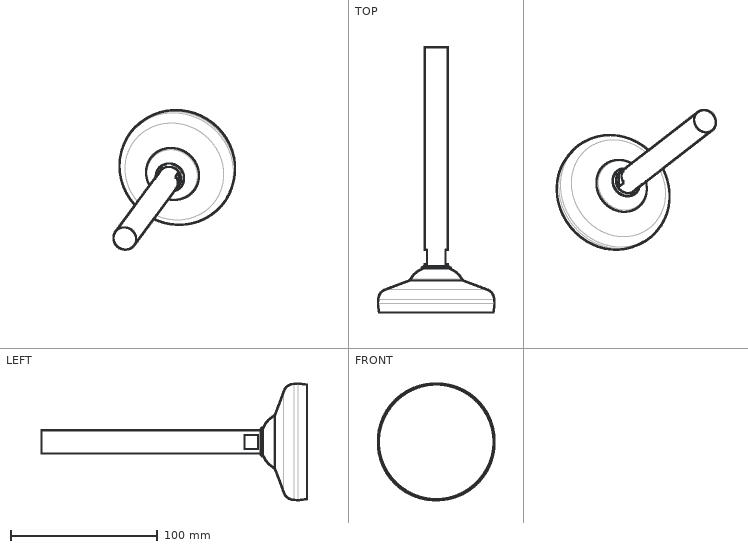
import cadquery as cq

TOTAL_LENGTH = 181.5
RIM_DIAMETER = 80.0

SOLE_RADIUS = 39.2
RIM_RADIUS = RIM_DIAMETER / 2
RIM_HEIGHT = 6.2
SHOULDER_START_RADIUS = 39.7
SHOULDER_START_HEIGHT = 8.9
SHOULDER_MID_RADIUS = 38.3
SHOULDER_MID_HEIGHT = 13.2
SHOULDER_END_RADIUS = 34.5
SHOULDER_END_HEIGHT = 16.0
CONE_TOP_RADIUS = 18.5
CONE_TOP_HEIGHT = 22.0
DOME_START_RADIUS = 17.6
DOME_START_HEIGHT = 23.0
DOME_MID_RADIUS = 14.0
DOME_MID_HEIGHT = 27.4
FOOT_TOP_RADIUS = 9.3
FOOT_TOP_HEIGHT = 30.1

ROD_RADIUS = 8.0
COLLAR_RADIUS = 10.0
COLLAR_THICKNESS = 0.5
COLLAR_FLARE_HEIGHT = 1.3
FLAT_START_HEIGHT = 33.4
FLAT_LENGTH = 9.5
WIDTH_ACROSS_FLATS = 12.9


def revolve_about_y(profile):
    """Turn a closed half profile, drawn in the XY plane, about the Y axis."""
    return profile.revolve(360, (0, 0, 0), (0, 1, 0))


def make_foot():
    """Round foot with a flat sole, a rounded shoulder, a cone and a domed top."""
    profile = (
        cq.Workplane("XY")
        .lineTo(SOLE_RADIUS, 0)
        .lineTo(RIM_RADIUS, RIM_HEIGHT)
        .lineTo(SHOULDER_START_RADIUS, SHOULDER_START_HEIGHT)
        .threePointArc(
            (SHOULDER_MID_RADIUS, SHOULDER_MID_HEIGHT),
            (SHOULDER_END_RADIUS, SHOULDER_END_HEIGHT),
        )
        .lineTo(CONE_TOP_RADIUS, CONE_TOP_HEIGHT)
        .lineTo(DOME_START_RADIUS, DOME_START_HEIGHT)
        .threePointArc(
            (DOME_MID_RADIUS, DOME_MID_HEIGHT),
            (FOOT_TOP_RADIUS, FOOT_TOP_HEIGHT),
        )
        .lineTo(0, FOOT_TOP_HEIGHT)
        .close()
    )
    return revolve_about_y(profile)


def make_wrench_flat_cutter(side):
    """Block that leaves a wrench flat on the +X (side = 1) or -X (side = -1) face of the rod."""
    block_size = 2 * ROD_RADIUS
    center_x = side * (WIDTH_ACROSS_FLATS + block_size) / 2
    center_y = FLAT_START_HEIGHT + FLAT_LENGTH / 2
    return (
        cq.Workplane("XY")
        .box(block_size, FLAT_LENGTH, block_size)
        .translate((center_x, center_y, 0))
    )


def make_spindle():
    """Rod whose collar, tapered above and below, rests on the flat top of the foot."""
    collar_top = FOOT_TOP_HEIGHT + COLLAR_THICKNESS
    flare_top = collar_top + COLLAR_FLARE_HEIGHT
    profile = (
        cq.Workplane("XY")
        .moveTo(0, FOOT_TOP_HEIGHT)
        .lineTo(FOOT_TOP_RADIUS, FOOT_TOP_HEIGHT)
        .lineTo(COLLAR_RADIUS, collar_top)
        .lineTo(ROD_RADIUS, flare_top)
        .lineTo(ROD_RADIUS, TOTAL_LENGTH)
        .lineTo(0, TOTAL_LENGTH)
        .close()
    )
    spindle = revolve_about_y(profile)
    for side in (-1, 1):
        spindle = spindle.cut(make_wrench_flat_cutter(side))
    return spindle


foot = make_foot()
spindle = make_spindle()
result = cq.Compound.makeCompound([foot.val(), spindle.val()])